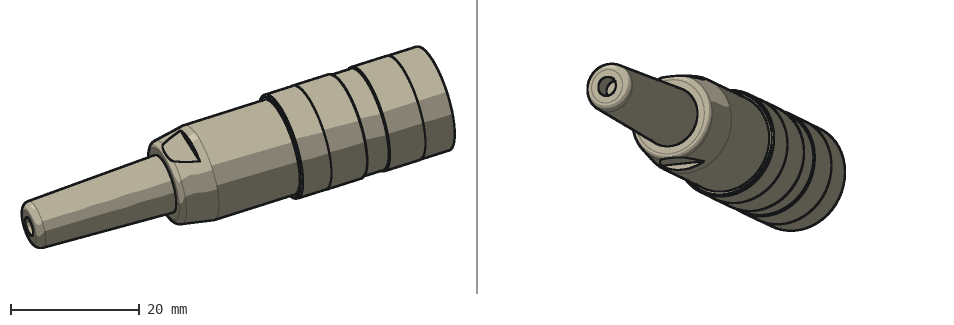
import cadquery as cq

TOTAL_LENGTH = 68.5
COLLAR_DIAMETER = 17.0

SLEEVE_DIAMETER = 16.9
GROOVE_DIAMETER = 16.6
COLLAR_CHAMFER = 0.15
SLEEVE_LENGTH = 26.0
SLEEVE_CHAMFER = 0.3
COLLAR_WIDTH = 6.15
FIRST_COLLAR_START = 5.0
SECOND_COLLAR_START = 14.8

BODY_DIAMETER = 15.5
BODY_END = 39.7
NOSE_END = 45.6
NOSE_END_DIAMETER = 13.35
NOSE_FILLET = 0.95

FLATS_START = 41.2
FLATS_ACROSS = 13.0

STEM_BASE_DIAMETER = 9.4
STEM_TIP_DIAMETER = 7.55
STEM_FILLET = 1.15
HOLE_DIAMETER = 3.0
HOLE_DEPTH = 3.0

BACK_Y = TOTAL_LENGTH / 2


def frustum(start, end, start_diameter, end_diameter):
    """Solid of revolution between two distances from the back face."""
    return (
        cq.Workplane("XY")
        .moveTo(0, BACK_Y - start)
        .lineTo(start_diameter / 2, BACK_Y - start)
        .lineTo(end_diameter / 2, BACK_Y - end)
        .lineTo(0, BACK_Y - end)
        .close()
        .revolve(360, (0, 0, 0), (0, 1, 0))
    )


def cylinder(start, end, diameter):
    return frustum(start, end, diameter, diameter)


def make_sleeve():
    groove_start = FIRST_COLLAR_START + COLLAR_WIDTH
    second_collar_end = SECOND_COLLAR_START + COLLAR_WIDTH
    first_collar = cylinder(FIRST_COLLAR_START, groove_start, COLLAR_DIAMETER)
    second_collar = cylinder(SECOND_COLLAR_START, second_collar_end, COLLAR_DIAMETER)
    front_rim = cylinder(second_collar_end, SLEEVE_LENGTH, SLEEVE_DIAMETER)
    return (
        cylinder(0, FIRST_COLLAR_START, SLEEVE_DIAMETER)
        .union(first_collar.edges("<Y").chamfer(COLLAR_CHAMFER))
        .union(cylinder(groove_start, SECOND_COLLAR_START, GROOVE_DIAMETER))
        .union(second_collar.edges(">Y").chamfer(COLLAR_CHAMFER))
        .union(front_rim.edges("<Y").chamfer(SLEEVE_CHAMFER))
    )


def make_nose():
    nose = frustum(BODY_END, NOSE_END, BODY_DIAMETER, NOSE_END_DIAMETER)
    nose = nose.edges("<Y").fillet(NOSE_FILLET)
    flats_length = NOSE_END - FLATS_START
    flats_envelope = cq.Workplane("XY").box(BODY_DIAMETER, flats_length, FLATS_ACROSS)
    flats_envelope = flats_envelope.translate((0, BACK_Y - (FLATS_START + NOSE_END) / 2, 0))
    unflattened = cylinder(BODY_END, FLATS_START, BODY_DIAMETER)
    return nose.intersect(flats_envelope.union(unflattened))


def make_stem():
    stem = frustum(NOSE_END, TOTAL_LENGTH, STEM_BASE_DIAMETER, STEM_TIP_DIAMETER)
    stem = stem.edges("<Y").fillet(STEM_FILLET)
    return stem.cut(cylinder(TOTAL_LENGTH - HOLE_DEPTH, TOTAL_LENGTH, HOLE_DIAMETER))


body = cylinder(SLEEVE_LENGTH, BODY_END, BODY_DIAMETER)
result = make_sleeve().union(body).union(make_nose()).union(make_stem())